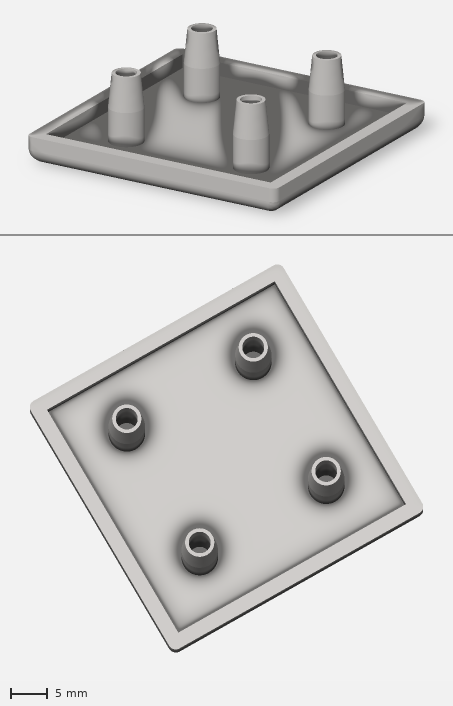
import cadquery as cq

side = 40.0
plate_height = 4.0
corner_radius = 1.0
bottom_round = 2.0

rim_width = 2.0
floor_thickness = 2.0

total_height = 12.0
peg_spacing = 20.0
peg_diameter = 5.0
peg_tip_diameter = 4.0
bore_diameter = 3.0
taper_height = 5.0


def make_plate():
    """Square plate with rounded corners, rounded underside and a square recess."""
    plate = (
        cq.Workplane("XY")
        .box(side, side, plate_height, centered=(True, True, False))
        .edges("|Z")
        .fillet(corner_radius)
        .faces("<Z")
        .edges()
        .fillet(bottom_round)
    )
    recess_side = side - 2 * rim_width
    recess = (
        cq.Workplane("XY", origin=(0, 0, floor_thickness))
        .rect(recess_side, recess_side)
        .extrude(plate_height - floor_thickness)
    )
    return plate.cut(recess)


def make_peg():
    """Straight peg with a tapered tip and a bore down to the recess floor."""
    radius = peg_diameter / 2
    bore_radius = bore_diameter / 2
    return (
        cq.Workplane("XZ")
        .moveTo(bore_radius, floor_thickness)
        .lineTo(radius, floor_thickness)
        .lineTo(radius, total_height - taper_height)
        .lineTo(peg_tip_diameter / 2, total_height)
        .lineTo(bore_radius, total_height)
        .close()
        .revolve(360, (0, 0, 0), (0, 1, 0))
    )


result = make_plate()
peg = make_peg()
for x in (-peg_spacing / 2, peg_spacing / 2):
    for y in (-peg_spacing / 2, peg_spacing / 2):
        result = result.union(peg.translate((x, y, 0)))